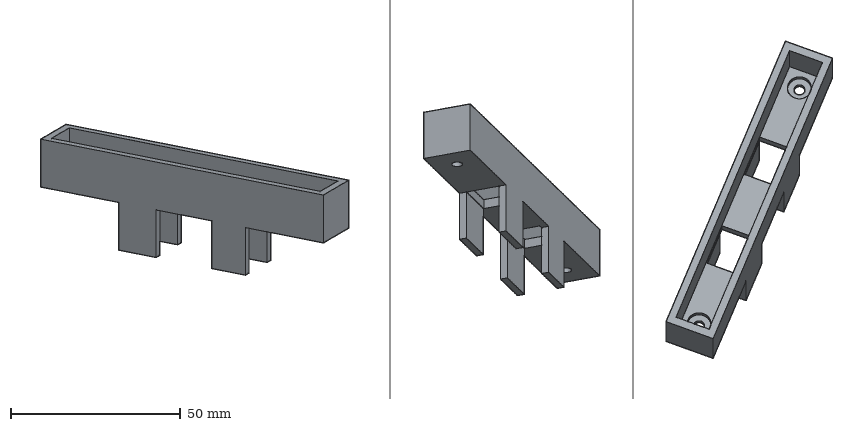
import cadquery as cq

length = 96.5
width = 15.0
total_height = 30.0
tray_height = 15.1
cavity_width = 10.4
end_wall = 2.4
floor_thickness = 2.9

leg_height = total_height - tray_height
leg_width = 12.7
leg_thickness = 2.2
window_depth = 10.3
leg_spacing = 30.5
narrow_leg_width = 11.5

hole_diameter = 3.2
counterbore_diameter = 7.0
counterbore_depth = floor_thickness / 2
hole_spacing = 81.2

leg_centers = (-leg_spacing / 2, leg_spacing / 2)


def block(x_size, y_size, z_size, x, y, z_bottom):
    """Box centred on (x, y) and standing on z_bottom."""
    return (
        cq.Workplane("XY")
        .box(x_size, y_size, z_size, centered=(True, True, False))
        .translate((x, y, z_bottom))
    )


def make_tray():
    """Open-topped tray with its underside at z = 0."""
    outer = block(length, width, tray_height, 0, 0, 0)
    cavity = block(length - 2 * end_wall, cavity_width, tray_height, 0, 0, floor_thickness)
    return outer.cut(cavity)


def add_legs(body):
    """Extend both side walls downward in pairs of flat legs."""
    leg_y = (width - leg_thickness) / 2
    for x in leg_centers:
        for y in (-leg_y, leg_y):
            body = body.union(block(leg_width, leg_thickness, leg_height, x, y, -leg_height))
    return body


def trim_narrow_leg(body):
    """Shorten the +X leg of the -Y wall on its inner side."""
    trim_width = leg_width - narrow_leg_width
    x = leg_spacing / 2 - leg_width / 2 + trim_width / 2
    y = -(width - leg_thickness) / 2
    return body.cut(block(trim_width, leg_thickness, leg_height, x, y, -leg_height))


def cut_windows(body):
    """Open the floor between the legs of each pair."""
    for x in leg_centers:
        body = body.cut(block(leg_width, window_depth, floor_thickness, x, 0, 0))
    return body


def cut_screw_holes(body):
    """Counterbored holes through the floor near both ends."""
    return (
        body.copyWorkplane(cq.Workplane("XY", origin=(0, 0, floor_thickness)))
        .pushPoints([(-hole_spacing / 2, 0), (hole_spacing / 2, 0)])
        .cboreHole(hole_diameter, counterbore_diameter, counterbore_depth, floor_thickness)
    )


result = cut_screw_holes(cut_windows(trim_narrow_leg(add_legs(make_tray()))))